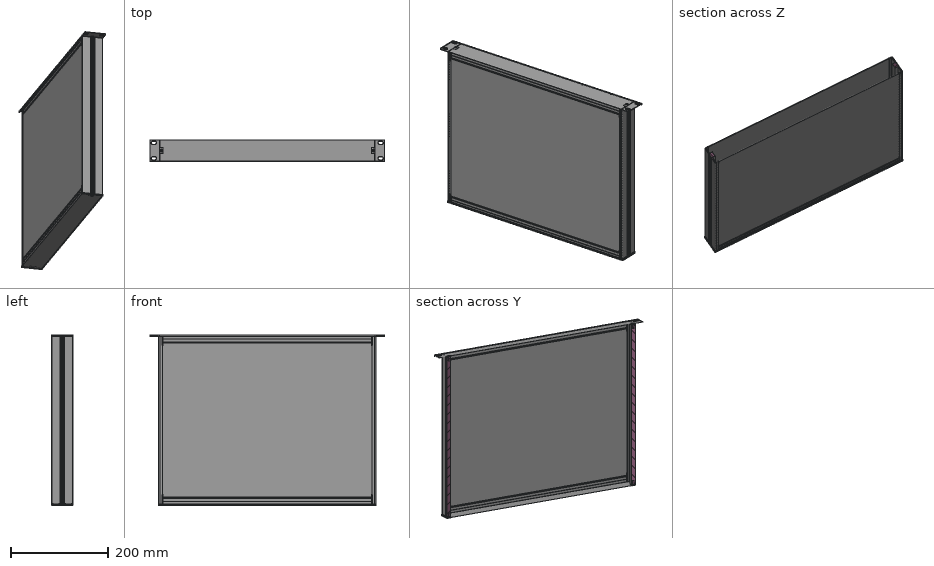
import cadquery as cq

panel_length = 482.0
case_width = 447.5
case_thickness = 44.0
case_height = 350.0
half_thickness = case_thickness / 2
half_height = case_height / 2

sheet = 1.0

flange_height = 3.0
bend_radius = 1.0
lip_length = 432.5
lip_height = 8.0
flange_gap = case_height - 2 * flange_height

slot_length = 10.5
slot_width = 6.5
slot_spacing_x = 466.0
slot_spacing_y = 32.0

screw_spacing = 437.0
shank_diameter = 3.0
shank_length = 10.0
head_diameter = 6.0
head_height = 1.5
socket_across_corners = 3.5
socket_depth = 1.0

wall_thickness = 3.5
corner_radius = 2.5
web_thickness = 1.5
web_width = 39.5
boss_width = 12.5
boss_depth = 9.5
ledge_depth = 8.0
ledge_thickness = 1.5
end_clearance = 1.0
core_height = case_height - 2 * (sheet + end_clearance)
groove_count = 4
groove_width = 1.5
groove_pitch = 3.0
groove_depth = 1.0

cover_width = case_width - 2 * wall_thickness
slit_width = 1.5
slit_end = 21.0
step_start = 14.0
step_height = 1.5


def screw_solid():
    """Screw along -Z with its head face at the origin."""
    shank = cq.Workplane("XY").circle(shank_diameter / 2).extrude(-shank_length)
    head = (
        cq.Workplane("XY").circle(head_diameter / 2)
        .workplane(offset=-head_height).circle(shank_diameter / 2).loft()
    )
    return shank.union(head)


def make_screw():
    socket = cq.Workplane("XY").polygon(6, socket_across_corners).extrude(-socket_depth)
    return screw_solid().cut(socket)


def at_screws(body):
    """Copies of a body at the four screw places, two on each panel."""
    copies = []
    for x in (-screw_spacing / 2, screw_spacing / 2):
        front_copy = body.translate((x, 0, half_height))
        copies.append(front_copy)
        copies.append(front_copy.mirror("XY"))
    return copies


def cut_screw_holes(body):
    for screw in at_screws(screw_solid()):
        body = body.cut(screw)
    return body


def channel(length, height):
    """Channel along X at the +Z end: a flat sheet whose two long edges are bent down."""
    block = (
        cq.Workplane("XY").workplane(offset=half_height)
        .rect(length, case_thickness).extrude(-height)
        .faces(">Z").edges("|X").fillet(bend_radius)
    )
    hollow = (
        cq.Workplane("XY").workplane(offset=half_height - sheet)
        .rect(length, case_thickness - 2 * sheet).extrude(-height)
        .faces(">Z").edges("|X").fillet(bend_radius)
    )
    return block.cut(hollow)


def make_panel(length):
    """Panel at the +Z end, whose flanges deepen to lips that overlap the covers."""
    return channel(length, flange_height).union(channel(lip_length, lip_height))


def make_front_panel():
    slots = (
        cq.Workplane("XY").workplane(offset=half_height)
        .rect(slot_spacing_x, slot_spacing_y, forConstruction=True).vertices()
        .slot2D(slot_length, slot_width).extrude(-sheet)
    )
    return cut_screw_holes(make_panel(panel_length).cut(slots))


def make_rear_panel():
    return cut_screw_holes(make_panel(case_width).mirror("XY"))


def bar(x_from, x_to, y_centre, y_size, height):
    """Straight bar along Z, centred at mid-height."""
    return (
        cq.Workplane("XY").workplane(offset=-height / 2)
        .center((x_from + x_to) / 2, y_centre)
        .rect(x_to - x_from, y_size).extrude(height)
    )


def make_side_profile():
    """Profile on the -X side: a grooved wall with a ledge under each cover and a screw channel."""
    outer_x = -case_width / 2
    inner_x = outer_x + wall_thickness
    profile = bar(outer_x, inner_x, 0, case_thickness, flange_gap)
    profile = profile.edges("|Z and <X").fillet(corner_radius)
    profile = profile.union(bar(inner_x - web_thickness, inner_x, 0, web_width, core_height))
    profile = profile.union(bar(inner_x, outer_x + boss_depth, 0, boss_width, core_height))
    for side in (-1, 1):
        ledge_y = side * (half_thickness - sheet - ledge_thickness / 2)
        profile = profile.union(
            bar(inner_x, outer_x + ledge_depth, ledge_y, ledge_thickness, flange_gap)
        )
    for i in range(groove_count):
        groove_y = (i - (groove_count - 1) / 2) * groove_pitch
        profile = profile.cut(bar(outer_x, outer_x + groove_depth, groove_y, groove_width, flange_gap))
    return cut_screw_holes(profile)


def make_cover():
    """Cover on the -Y side: a sheet whose end tongues step inward under the panel lips."""
    tongue_width = lip_length - 2 * slit_width
    flange_z = half_height - flange_height
    slit_z = half_height - slit_end
    step_z = half_height - step_start
    outer_y = -half_thickness
    inner_y = outer_y + sheet
    tongue_inner_y = inner_y + sheet

    cover = (
        cq.Workplane("XZ", origin=(0, outer_y, 0))
        .rect(cover_width, flange_gap).extrude(-sheet)
    )
    end_opening = (
        cq.Workplane("XZ", origin=(0, outer_y, (flange_z + slit_z) / 2))
        .rect(lip_length, flange_z - slit_z).extrude(-sheet)
        .edges("|Y and <Z").fillet(slit_width / 2)
    )
    cover = cover.cut(end_opening).cut(end_opening.mirror("XY"))
    half_strip = (
        cq.Workplane("YZ", origin=(-tongue_width / 2, 0, 0))
        .polyline([
            (outer_y, 0),
            (outer_y, step_z - step_height),
            (inner_y, step_z),
            (inner_y, flange_z),
            (tongue_inner_y, flange_z),
            (tongue_inner_y, step_z - step_height),
            (inner_y, step_z - 2 * step_height),
            (inner_y, 0),
        ])
        .close().extrude(tongue_width)
    )
    return cover.union(half_strip).union(half_strip.mirror("XY"))


front_panel = make_front_panel()
rear_panel = make_rear_panel()
left_profile = make_side_profile()
side_profiles = [left_profile, left_profile.mirror("YZ")]
front_cover = make_cover()
covers = [front_cover, front_cover.mirror("XZ")]
screws = at_screws(make_screw())

bodies = [front_panel, rear_panel, *side_profiles, *covers, *screws]
result = cq.Compound.makeCompound([body.val() for body in bodies])